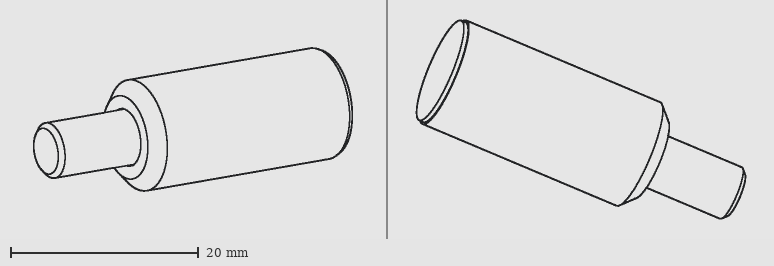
import cadquery as cq

total_length = 35.0
pin_projection = 10.0
housing_diameter = 12.0
housing_front_chamfer = 1.5
rear_step_diameter = 11.55
rear_step_length = 0.5

pin_diameter = 6.0
pin_tip_chamfer = 0.52
pin_clearance = 0.1
pin_insertion = 10.0

housing_length = total_length - pin_projection
bore_diameter = pin_diameter + 2 * pin_clearance
pin_length = pin_projection + pin_insertion


def cylinder_along_y(diameter, start_y, length):
    """Solid cylinder on the Y axis, growing toward +Y from start_y."""
    return (
        cq.Workplane("XZ", origin=(0, start_y, 0))
        .circle(diameter / 2)
        .extrude(-length)
    )


def make_housing():
    """Chamfered sleeve with a reduced rear end and a blind bore at the front."""
    barrel = cylinder_along_y(housing_diameter, 0, housing_length - rear_step_length)
    barrel = barrel.faces("<Y").chamfer(housing_front_chamfer)
    rear_step = cylinder_along_y(rear_step_diameter, housing_length - rear_step_length, rear_step_length)
    bore = cylinder_along_y(bore_diameter, 0, pin_insertion)
    return barrel.union(rear_step).cut(bore)


def make_pin():
    """Round pin resting on the bore floor, with a chamfered tip."""
    pin = cylinder_along_y(pin_diameter, -pin_projection, pin_length)
    return pin.faces("<Y").chamfer(pin_tip_chamfer)


housing = make_housing()
pin = make_pin()

result = cq.Compound.makeCompound([housing.val(), pin.val()])